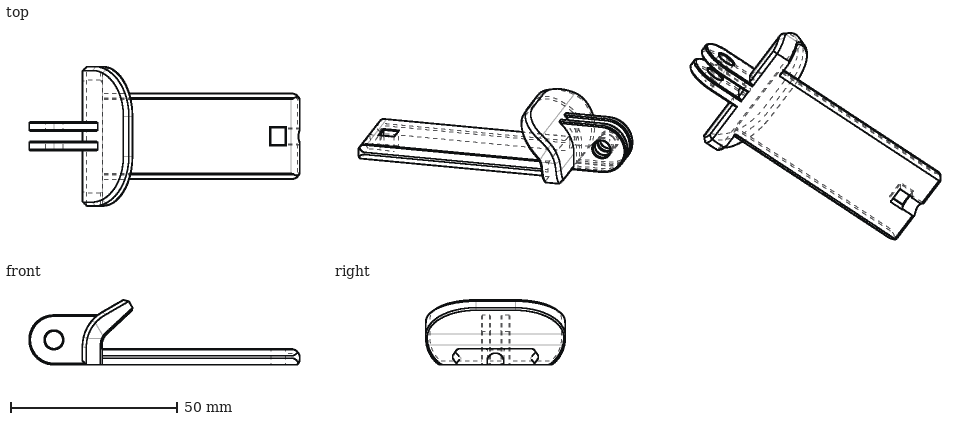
import cadquery as cq
import math


lug_radius = 7.5
lug_thickness = 2.8
lug_gap = 3.1
lug_root_x = 13.5
lug_chamfer = 0.4
hole_diameter = 5.3
hole_chamfer = 0.3

shield_width = 42.0
shield_front_x = 8.57
shield_foot_thickness = 5.93
front_bend_start_z = 5.5
front_bend_radius = 12.0
front_tilt = 30.0
front_lip_length = 8.53
back_bend_start_z = 6.0
back_bend_radius = 4.5
back_tilt = 43.0
top_corner_width = 15.0
top_corner_length = 12.0
bottom_corner_radius = 10.0
bottom_corner_z = 8.0
front_chamfer = 1.2
back_chamfer = 0.5
tolerance = 0.001
cutter_reach = 60.0

plate_end_x = 74.06
plate_start_x = 12.0
plate_width = 25.8
plate_thickness = 4.8
side_land_bottom_z = 2.0
side_land_top_z = 2.7
lower_bevel_inset = 1.4
upper_bevel_inset = 1.27
edge_break_inset = 1.73
edge_break_height = 0.25
end_radius = 2.8
plan_corner_radius = 2.5

window_length = 4.4
window_width = 5.0
window_center_x = 67.45
window_chamfer = 0.3
end_bore_diameter = 5.0
end_bore_z = 1.0


def along(point, angle, distance):
    """Point reached by moving a distance at an angle (degrees) in the XZ plane."""
    turn = math.radians(angle)
    return (point[0] + distance * math.cos(turn), point[1] + distance * math.sin(turn))


def bend_point(start, radius, angle):
    """Point on an arc that leaves start going +Z and bends towards +X until it runs at angle."""
    center = (start[0] + radius, start[1])
    return along(center, 90.0 + angle, radius)


front_bend_start = (shield_front_x, front_bend_start_z)
front_bend_end = bend_point(front_bend_start, front_bend_radius, front_tilt)
front_tip = along(front_bend_end, front_tilt, front_lip_length)


def shield_profile():
    """Side profile of the shield, extruded over its full width."""
    back_x = shield_front_x + shield_foot_thickness
    back_bend_start = (back_x, back_bend_start_z)
    back_bend_end = bend_point(back_bend_start, back_bend_radius, back_tilt)

    back_bend_middle = bend_point(back_bend_start, back_bend_radius, (90 + back_tilt) / 2)
    front_bend_middle = bend_point(front_bend_start, front_bend_radius, (90 + front_tilt) / 2)

    gap_x = front_tip[0] - back_bend_end[0]
    gap_z = front_tip[1] - back_bend_end[1]
    tip_normal = math.radians(front_tilt)
    reach = gap_x * math.cos(tip_normal) + gap_z * math.sin(tip_normal)
    back_length = reach / math.cos(math.radians(back_tilt - front_tilt))
    back_tip = along(back_bend_end, back_tilt, back_length)

    return (
        cq.Workplane("XZ")
        .moveTo(shield_front_x, 0)
        .lineTo(*front_bend_start)
        .threePointArc(front_bend_middle, front_bend_end)
        .lineTo(*front_tip)
        .lineTo(*back_tip)
        .lineTo(*back_bend_end)
        .threePointArc(back_bend_middle, back_bend_start)
        .lineTo(back_x, 0)
        .close()
        .extrude(shield_width / 2, both=True)
    )


def upper_outline():
    """Prism square to the tilted lip that rounds the two upper corners."""
    half = shield_width / 2
    tilt = math.radians(front_tilt)
    lip_plane = cq.Plane(
        origin=(front_tip[0], 0, front_tip[1]),
        xDir=(0, -1, 0),
        normal=(math.sin(tilt), 0, -math.cos(tilt)),
    )
    return (
        cq.Workplane(lip_plane)
        .moveTo(-half, cutter_reach)
        .lineTo(-half, top_corner_length)
        .ellipseArc(top_corner_width, top_corner_length, 180, 270, startAtCurrent=True)
        .lineTo(half - top_corner_width, 0)
        .ellipseArc(top_corner_width, top_corner_length, 270, 360, startAtCurrent=True)
        .lineTo(half, cutter_reach)
        .close()
        .extrude(cutter_reach, both=True)
    )


def lower_outline():
    """Prism along X that rounds the two lower corners."""
    return (
        cq.Workplane("YZ")
        .center(0, bottom_corner_z - bottom_corner_radius + cutter_reach / 2)
        .rect(shield_width, cutter_reach)
        .extrude(cutter_reach)
        .edges("|X and <Z")
        .fillet(bottom_corner_radius)
    )


def rim_edges(faces):
    """Edges that belong to only one of the faces, which together form their outer rim."""
    all_edges = [edge for face in faces for edge in face.Edges()]
    return [edge for edge in all_edges if sum(edge.isSame(other) for other in all_edges) == 1]


def make_shield():
    """Bent shield with a wide chamfer around its front face and a narrow one around its back."""
    shield = shield_profile().intersect(upper_outline()).intersect(lower_outline())
    front_x_direction = -math.sin(math.radians(front_tilt))
    back_x_direction = math.sin(math.radians(back_tilt))
    front_faces = []
    back_faces = []
    for face in shield.faces().vals():
        normal = face.normalAt()
        if abs(normal.y) > tolerance:
            continue
        if normal.x < front_x_direction + tolerance:
            front_faces.append(face)
        elif normal.x > back_x_direction - tolerance and normal.z < tolerance:
            back_faces.append(face)
    back_rim = [edge for edge in rim_edges(back_faces) if edge.Center().z > tolerance]
    shield = shield.newObject(rim_edges(front_faces)).chamfer(front_chamfer)
    return shield.newObject(back_rim).chamfer(back_chamfer)


def make_lugs():
    """Pair of round-nosed lugs with a shared hole."""
    lug_top = 2 * lug_radius
    center_y = (lug_gap + lug_thickness) / 2
    lug = (
        cq.Workplane("XZ")
        .moveTo(lug_root_x, 0)
        .lineTo(0, 0)
        .threePointArc((-lug_radius, lug_radius), (0, lug_top))
        .lineTo(lug_root_x, lug_top)
        .close()
        .extrude(lug_thickness / 2, both=True)
        .faces("<Y or >Y")
        .edges("%CIRCLE or >Z")
        .chamfer(lug_chamfer)
        .faces("<Y")
        .workplane(origin=(0, 0, lug_radius))
        .hole(hole_diameter)
        .edges(cq.selectors.RadiusNthSelector(0))
        .chamfer(hole_chamfer)
    )
    return lug.translate((0, center_y, 0)).union(lug.translate((0, -center_y, 0)))


def plate_section():
    """Beveled cross-section of the plate, extruded along its length."""
    half = plate_width / 2
    right_side = [
        (half - lower_bevel_inset, 0),
        (half, side_land_bottom_z),
        (half, side_land_top_z),
        (half - upper_bevel_inset, plate_thickness - edge_break_height),
        (half - edge_break_inset, plate_thickness),
    ]
    left_side = [(-y, z) for y, z in reversed(right_side)]
    return (
        cq.Workplane("YZ", origin=(plate_start_x, 0, 0))
        .polyline(right_side + left_side)
        .close()
        .extrude(plate_end_x - plate_start_x)
    )


def plate_end_form():
    """Block that rounds the free end of the plate in side profile and at its corners in plan."""
    arc_center = (plate_end_x - end_radius, plate_thickness - end_radius)
    underside_angle = -math.degrees(math.asin(arc_center[1] / end_radius))
    side_form = (
        cq.Workplane("XZ")
        .moveTo(plate_start_x, plate_thickness)
        .lineTo(arc_center[0], plate_thickness)
        .threePointArc((plate_end_x, arc_center[1]), along(arc_center, underside_angle, end_radius))
        .lineTo(plate_start_x, 0)
        .close()
        .extrude(plate_width / 2, both=True)
    )
    plan_form = (
        cq.Workplane("XY")
        .center((plate_start_x + plate_end_x) / 2, 0)
        .rect(plate_end_x - plate_start_x, plate_width)
        .extrude(plate_thickness)
        .edges("|Z and >X")
        .fillet(plan_corner_radius)
    )
    return side_form.intersect(plan_form)


def make_plate():
    """Beveled plate with a square window and a round channel from the window to the free end."""
    window = (
        cq.Workplane("XY", origin=(window_center_x, 0, 0))
        .rect(window_length, window_width)
        .extrude(plate_thickness)
    )
    window_flare = (
        cq.Workplane("XY", origin=(window_center_x, 0, plate_thickness))
        .rect(window_length + 2 * window_chamfer, window_width + 2 * window_chamfer)
        .workplane(offset=-window_chamfer)
        .rect(window_length, window_width)
        .loft()
    )
    end_channel = (
        cq.Workplane("YZ", origin=(window_center_x, 0, end_bore_z))
        .circle(end_bore_diameter / 2)
        .extrude(plate_end_x - window_center_x)
    )
    plate = plate_section().intersect(plate_end_form())
    return plate.cut(window).cut(window_flare).cut(end_channel)


result = make_shield().union(make_plate()).union(make_lugs())